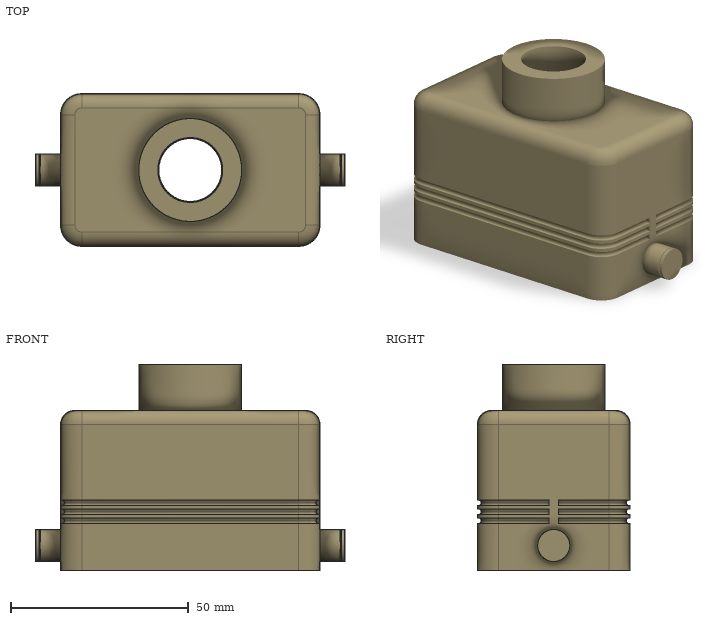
import cadquery as cq

body_length = 73.0
body_width = 43.0
body_height = 45.1
corner_radius = 6.0
top_edge_radius = 4.0

total_height = 58.0
collar_diameter = 29.0
mouth_diameter = 18.3
throat_diameter = 17.7
throat_depth = 8.0

overall_length = 87.0
pin_diameter = 9.05
pin_height = 7.05
pin_tip_length = 1.0
pin_neck_length = 0.3
pin_neck_diameter = 2.0

groove_count = 3
groove_pitch = 2.5
groove_height = 1.6
groove_depth = 1.05
groove_floor_radius = 0.7
lowest_groove_center = 14.0
bridge_width = 2.8


def make_body():
    return (
        cq.Workplane("XY")
        .rect(body_length, body_width)
        .extrude(body_height)
        .edges("|Z")
        .fillet(corner_radius)
        .faces(">Z")
        .edges()
        .fillet(top_edge_radius)
    )


def make_collar():
    return (
        cq.Workplane("XY")
        .workplane(offset=body_height / 2)
        .circle(collar_diameter / 2)
        .extrude(total_height - body_height / 2)
    )


def make_bore():
    """Vertical through bore; its upper stretch curves in gently to a throat."""
    mouth_radius = mouth_diameter / 2
    throat_point = (throat_diameter / 2, total_height - throat_depth)
    curve_end = (mouth_radius, total_height - 2 * throat_depth)
    return (
        cq.Workplane("XZ")
        .lineTo(mouth_radius, 0)
        .lineTo(*curve_end)
        .threePointArc(throat_point, (mouth_radius, total_height))
        .lineTo(0, total_height)
        .close()
        .revolve(360, (0, 0), (0, 1))
    )


def make_pins():
    """One bar through the body forms both pins; a thin neck sets off each tip."""
    neck_outer = overall_length / 2 - pin_tip_length
    neck_inner = neck_outer - pin_neck_length
    plane = cq.Workplane("YZ", origin=(0, 0, pin_height))
    bar = plane.circle(pin_diameter / 2).extrude(neck_inner, both=True)
    necks = plane.circle(pin_neck_diameter / 2).extrude(neck_outer, both=True)
    bar = bar.union(necks)
    for side in (-1, 1):
        tip = (
            plane.workplane(offset=side * neck_outer)
            .circle(pin_diameter / 2)
            .extrude(side * pin_tip_length)
        )
        bar = bar.union(tip)
    return bar


def make_groove(center_height):
    """Ring that follows the rounded outline, with a rounded floor and two gaps."""
    core_length = body_length - 2 * groove_depth
    core_width = body_width - 2 * groove_depth
    core = (
        cq.Workplane("XY")
        .rect(core_length, core_width)
        .extrude(groove_height)
        .edges("|Z")
        .fillet(corner_radius - groove_depth)
    )
    margin = groove_depth / 2
    inside = cq.selectors.BoxSelector(
        (-core_length / 2 - margin, -core_width / 2 - margin, -margin),
        (core_length / 2 + margin, core_width / 2 + margin, groove_height + margin),
    )
    ring = (
        cq.Workplane("XY")
        .rect(body_length + 2 * groove_depth, body_width + 2 * groove_depth)
        .extrude(groove_height)
        .cut(core)
        .edges("#Z")
        .edges(inside)
        .fillet(groove_floor_radius)
    )
    bridge = cq.Workplane("XY").box(2 * body_length, bridge_width, 4 * groove_height)
    return ring.cut(bridge).translate((0, 0, center_height - groove_height / 2))


result = make_body()
for index in range(groove_count):
    result = result.cut(make_groove(lowest_groove_center + index * groove_pitch))
result = result.union(make_pins()).union(make_collar()).cut(make_bore())